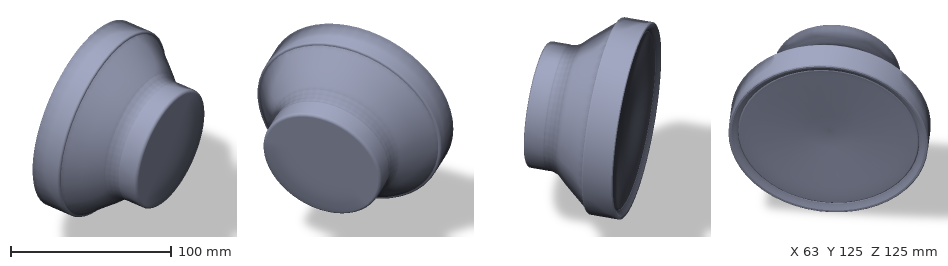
import cadquery as cq

rim_radius = 62.5
rim_length = 20.0
rim_fillet = 1.2
face_chamfer_radial = 0.6
face_chamfer_axial = 0.5
flare_start_radius = 60.6
flare_shoulder = (22.0, 58.9)
flare_middle = (30.1, 52.2)
flare_end_x = 41.2
flare_end_radius = 42.6
neck_middle = (45.0, 40.5)
neck_radius = 79.6 / 2
neck_start_x = 49.2
collar_radius = 80.0 / 2
collar_start_x = 50.0
total_length = 63.0
collar_fillet = 1.9

lip_radius = 60.6
recess_radius = 56.8
lip_depth = 0.1
recess_depth = 2.4
seat_depth = 10.0

disc_edge_round = 1.0
disc_dish = 5.4


def make_housing():
    profile = (
        cq.Workplane("XY")
        .moveTo(total_length, 0)
        .lineTo(total_length, collar_radius - collar_fillet)
        .radiusArc((total_length - collar_fillet, collar_radius), -collar_fillet)
        .lineTo(collar_start_x, collar_radius)
        .lineTo(neck_start_x, neck_radius)
        .threePointArc(neck_middle, (flare_end_x, flare_end_radius))
        .spline([flare_middle, flare_shoulder, (rim_length, flare_start_radius)], includeCurrent=True)
        .lineTo(rim_length, rim_radius - rim_fillet)
        .radiusArc((rim_length - rim_fillet, rim_radius), -rim_fillet)
        .lineTo(face_chamfer_axial, rim_radius)
        .lineTo(0, rim_radius - face_chamfer_radial)
        .lineTo(lip_depth, lip_radius)
        .lineTo(recess_depth, recess_radius)
        .lineTo(seat_depth, recess_radius)
        .lineTo(seat_depth, 0)
        .close()
    )
    return profile.revolve(360, (0, 0, 0), (1, 0, 0))


def make_disc():
    profile = (
        cq.Workplane("XY")
        .moveTo(seat_depth, 0)
        .lineTo(seat_depth, recess_radius)
        .lineTo(recess_depth + disc_edge_round, recess_radius)
        .radiusArc((recess_depth, recess_radius - disc_edge_round), -disc_edge_round)
        .lineTo(recess_depth + disc_dish, 0)
        .close()
    )
    return profile.revolve(360, (0, 0, 0), (1, 0, 0))


housing = make_housing()
disc = make_disc()
result = cq.Compound.makeCompound([housing.val(), disc.val()])